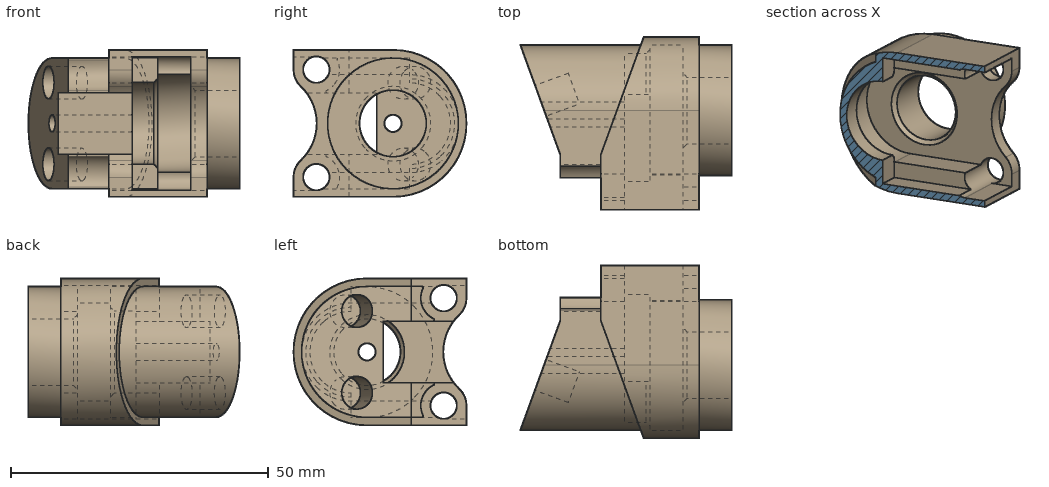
import cadquery as cq
import math


total_length = 41.06
boss_length = 6.35
collar_length = 19.05
nose_ledge_length = 7.93
rear_wall = 3.175
wide_pocket_length = 6.35
cross_pocket_length = 5.0

collar_rear_x = total_length - boss_length
collar_front_x = collar_rear_x - collar_length
nose_ledge_x = collar_front_x - nose_ledge_length
pocket_rear_x = collar_rear_x - rear_wall
wide_pocket_x = pocket_rear_x - wide_pocket_length
cross_pocket_x = wide_pocket_x - cross_pocket_length

boss_radius = 25.4 / 2
collar_radius = 28.57 / 2
total_depth = 33.61
lug_face_y = collar_radius - total_depth

slope_angle = math.radians(20.0)
slope_run = math.tan(slope_angle)
slope_end_y = boss_radius - nose_ledge_x / slope_run

pin_radius = 5.08 / 2
pin_z = 10.43
lug_radius = 4.445
pin_y = lug_face_y + lug_radius
saddle_radius = 9.9
saddle_center_y = pin_y - math.sqrt((saddle_radius + lug_radius) ** 2 - pin_z**2)

groove_edge_radius = 0.254

slot_width = 11.9
slot_floor_y = -3.175

narrow_pocket_radius = 15.875 / 2
wide_pocket_radius = 19.05 / 2
cross_pocket_width = 25.4
cross_pocket_floor_y = 3.175
pin_opening_width = 2 * (pin_z + pin_radius)

edge_chamfer = 0.79375
bore_radius = 12.95 / 2
center_hole_radius = 3.3 / 2
side_hole_radius = 6.35 / 2
side_hole_y = 1.93
side_hole_z = 7.9375
side_hole_depth = 6.86


def yz_plane(x):
    return cq.Workplane("YZ", origin=(x, 0, 0))


def cylinder(x_start, x_end, radius, y=0.0, z=0.0):
    return yz_plane(x_start).center(y, z).circle(radius).extrude(x_end - x_start)


def cone(x_start, radius_start, radius_end, length, y=0.0):
    base_center = cq.Vector(x_start, y, 0)
    return cq.Workplane(cq.Solid.makeCone(radius_start, radius_end, length, base_center, cq.Vector(1, 0, 0)))


def opening(x_start, x_end, floor_y, width):
    """Rectangular cut, centred on Z = 0, from the lug face up to floor_y."""
    center_y = (lug_face_y + floor_y) / 2
    return yz_plane(x_start).center(center_y, 0).rect(floor_y - lug_face_y, width).extrude(x_end - x_start)


def round_floor_opening(x_start, x_end, radius):
    """U-shaped cut whose half-round floor is centred at the cross pocket floor."""
    floor = cylinder(x_start, x_end, radius, cross_pocket_floor_y)
    return opening(x_start, x_end, cross_pocket_floor_y, 2 * radius).union(floor)


def point_on_circle(center, radius, toward):
    """Point of a circle that lies in the direction of another point."""
    angle = math.atan2(toward[1] - center[1], toward[0] - center[0])
    return center[0] + radius * math.cos(angle), center[1] + radius * math.sin(angle)


def collar_body():
    pin = (pin_y, pin_z)
    lug_tangent = point_on_circle(pin, lug_radius, (saddle_center_y, 0))
    lug_start = (lug_face_y, pin_z)
    lug_middle_aim = ((lug_tangent[0] + lug_start[0]) / 2, (lug_tangent[1] + lug_start[1]) / 2)
    lug_middle = point_on_circle(pin, lug_radius, lug_middle_aim)
    saddle_bottom = (saddle_center_y + saddle_radius, 0)
    saddle_middle = point_on_circle((saddle_center_y, 0), saddle_radius, (pin_y, pin_z / 2))
    half = (
        yz_plane(collar_front_x)
        .moveTo(*saddle_bottom)
        .threePointArc(saddle_middle, lug_tangent)
        .threePointArc(lug_middle, lug_start)
        .lineTo(lug_face_y, collar_radius)
        .lineTo(0, collar_radius)
        .radiusArc((collar_radius, 0), collar_radius)
        .close()
        .extrude(collar_length)
    )
    slope_setback = (collar_radius - slope_end_y) * slope_run
    ahead_of_slope = (
        cq.Workplane("XY")
        .moveTo(collar_front_x, slope_end_y)
        .lineTo(collar_front_x + slope_setback, collar_radius)
        .lineTo(collar_front_x, collar_radius)
        .close()
        .extrude(collar_radius)
    )
    half = half.cut(ahead_of_slope)
    return half.union(half.mirror("XY"))


def groove_edge_center(flat_z, side):
    """Centre of the edge round that touches both a flat at flat_z and the groove.

    side is +1 when the flat lies outside the pin axis and -1 when it lies inside.
    """
    center_z = flat_z - side * groove_edge_radius
    reach = lug_radius + groove_edge_radius
    return pin_y + math.sqrt(reach**2 - (center_z - pin_z) ** 2), center_z


def nose_body():
    pin = (pin_y, pin_z)
    outer = groove_edge_center(boss_radius, 1)
    inner = groove_edge_center(slot_width / 2, -1)
    outer_tip = (outer[0] - groove_edge_radius, outer[1])
    inner_tip = (inner[0] - groove_edge_radius, inner[1])
    half = (
        yz_plane(0)
        .moveTo(boss_radius, 0)
        .radiusArc((0, boss_radius), -boss_radius)
        .lineTo(outer[0], boss_radius)
        .threePointArc(outer_tip, point_on_circle(outer, groove_edge_radius, pin))
        .threePointArc((pin_y + lug_radius, pin_z), point_on_circle(inner, groove_edge_radius, pin))
        .threePointArc(inner_tip, (inner[0], slot_width / 2))
        .lineTo(inner[0], 0)
        .close()
        .extrude(collar_rear_x)
    )
    ahead_of_slope = (
        cq.Workplane("XY")
        .moveTo(0, boss_radius)
        .lineTo(nose_ledge_x, slope_end_y)
        .lineTo(nose_ledge_x, lug_face_y)
        .lineTo(0, lug_face_y)
        .close()
        .extrude(boss_radius)
    )
    half = half.cut(ahead_of_slope)
    return half.union(half.mirror("XY"))


def rear_boss():
    return cylinder(pocket_rear_x, total_length, boss_radius)


def pockets():
    chamfer_x = wide_pocket_x - edge_chamfer
    chamfer_end_radius = narrow_pocket_radius + edge_chamfer
    return [
        opening(0, cross_pocket_x, slot_floor_y, slot_width),
        opening(cross_pocket_x, wide_pocket_x, cross_pocket_floor_y, cross_pocket_width),
        round_floor_opening(cross_pocket_x, wide_pocket_x, narrow_pocket_radius),
        cone(chamfer_x, narrow_pocket_radius, chamfer_end_radius, edge_chamfer, cross_pocket_floor_y),
        round_floor_opening(wide_pocket_x, pocket_rear_x, wide_pocket_radius),
        opening(cross_pocket_x, pocket_rear_x, pin_y, pin_opening_width),
    ]


def axial_holes():
    return [
        cylinder(pocket_rear_x, total_length, bore_radius),
        cone(pocket_rear_x, bore_radius + edge_chamfer, bore_radius, edge_chamfer),
        cylinder(0, cross_pocket_x, center_hole_radius),
    ]


def pin_hole(side):
    return cylinder(collar_front_x, collar_rear_x, pin_radius, pin_y, side * pin_z)


def side_hole(side):
    """Blind hole square to the sloped nose face."""
    inward = cq.Vector(math.cos(slope_angle), math.sin(slope_angle), 0)
    mouth = cq.Vector((boss_radius - side_hole_y) * slope_run, side_hole_y, side * side_hole_z)
    start = mouth - inward * side_hole_depth
    return cq.Workplane(cq.Solid.makeCylinder(side_hole_radius, 2 * side_hole_depth, start, inward))


result = collar_body().union(nose_body()).union(rear_boss())
for cut in pockets() + axial_holes():
    result = result.cut(cut)
for side in (-1, 1):
    result = result.cut(pin_hole(side)).cut(side_hole(side))